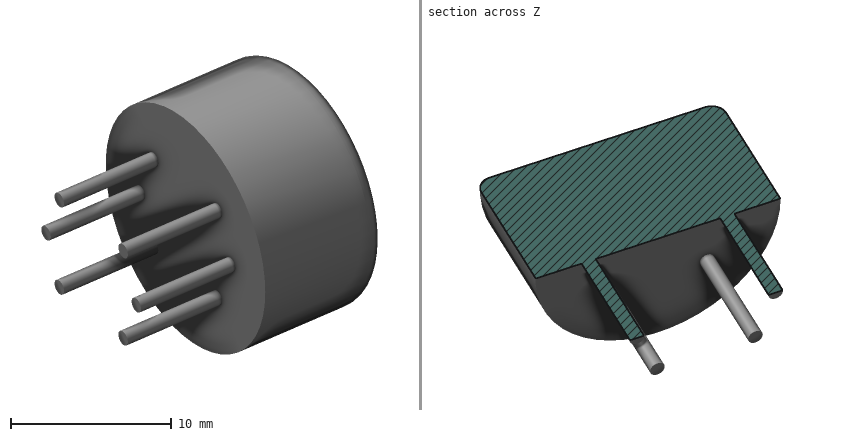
import cadquery as cq
import math

can_diameter = 16.8
overall_length = 16.5
can_height = 9.2
lead_length = overall_length - can_height
cap_edge_radius = 1.0
lead_diameter = 1.0
lead_circle_diameter = 9.5
lead_angles = (0, 45, 135, 180, 225, 315)


def make_can():
    """Cylinder rising towards +Y, with a rounded edge at its closed end."""
    can = cq.Workplane("XZ").circle(can_diameter / 2).extrude(-can_height)
    return can.faces(">Y").edges().fillet(cap_edge_radius)


def make_leads():
    """Straight round leads on a circle, running from the base towards -Y."""
    lead_circle_radius = lead_circle_diameter / 2
    centres = []
    for angle in lead_angles:
        x = lead_circle_radius * math.cos(math.radians(angle))
        z = lead_circle_radius * math.sin(math.radians(angle))
        centres.append((x, z))
    return cq.Workplane("XZ").pushPoints(centres).circle(lead_diameter / 2).extrude(lead_length)


result = make_can().union(make_leads())